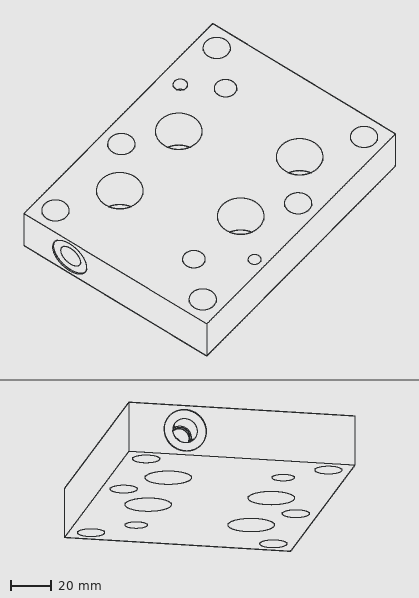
import cadquery as cq
import math

LENGTH_X = 114.3
LENGTH_Y = 152.4
THICKNESS = 25.4

MOUNT_SPAN_X = 92.08
MOUNT_SPAN_Y = 130.2
PATTERN_ORIGIN_X = (LENGTH_X - MOUNT_SPAN_X) / 2
PATTERN_ORIGIN_Y = (LENGTH_Y - MOUNT_SPAN_Y) / 2

LEFT_PORT_X = 17.46
RIGHT_PORT_X = 74.61
PORT_PITCH_Y = 23.8
FIRST_PORT_Y = 29.4
FIRST_PORT = (LEFT_PORT_X, FIRST_PORT_Y)
SECOND_ROW_Y = FIRST_PORT_Y + PORT_PITCH_Y
THIRD_ROW_Y = SECOND_ROW_Y + PORT_PITCH_Y
FOURTH_ROW_Y = THIRD_ROW_Y + PORT_PITCH_Y

MOUNT_DIAMETER = 13.46
MOUNT_POINTS = [
    (0, 0),
    (MOUNT_SPAN_X, 0),
    (0, MOUNT_SPAN_Y),
    (MOUNT_SPAN_X, MOUNT_SPAN_Y),
    (0, SECOND_ROW_Y),
    (MOUNT_SPAN_X, THIRD_ROW_Y),
]

MAIN_PORT_DIAMETER = 23.01
MAIN_PORT_POINTS = [
    FIRST_PORT,
    (RIGHT_PORT_X, SECOND_ROW_Y),
    (LEFT_PORT_X, THIRD_ROW_Y),
    (RIGHT_PORT_X, FOURTH_ROW_Y),
]

PILOT_DIAMETER = 11.11
PILOT_POINTS = [(73.0, 17.46), (19.05, 112.7)]

PIN_HOLE_DEPTH = 8.0
DRILL_POINT_ANGLE = 118.0
LEFT_PIN_DIAMETER = 7.14
LEFT_PIN_POINT = (0, FOURTH_ROW_Y)
RIGHT_PIN_DIAMETER = 6.35
RIGHT_PIN_POINT = (96.84, 35.7)

SPOTFACE_DIAMETER = 21.29
SPOTFACE_DEPTH = 0.8
SEAL_MOUTH_DIAMETER = 12.39
THREAD_DIAMETER = 11.12
SEAL_HALF_ANGLE = 12.0
THREAD_DEPTH = 12.0
TAP_DRILL_DIAMETER = 9.88
TAP_DRILL_DEPTH = 14.0
PASSAGE_DIAMETER = 9.53


def plate_point(point):
    """Convert a pattern position to plate coordinates."""
    return (PATTERN_ORIGIN_X + point[0], PATTERN_ORIGIN_Y + point[1])


def make_plate():
    return cq.Workplane("XY").box(LENGTH_X, LENGTH_Y, THICKNESS, centered=False)


def through_holes(points, diameter):
    centers = [plate_point(point) for point in points]
    return cq.Workplane("XY").pushPoints(centers).circle(diameter / 2).extrude(THICKNESS)


def pin_hole(point, diameter):
    """Blind hole from the top face, ending in a cone."""
    radius = diameter / 2
    bottom_z = THICKNESS - PIN_HOLE_DEPTH
    tip_z = bottom_z - radius / math.tan(math.radians(DRILL_POINT_ANGLE / 2))
    center_x, center_y = plate_point(point)
    profile = [(0, tip_z), (radius, bottom_z), (radius, THICKNESS), (0, THICKNESS)]
    hole = cq.Workplane("XZ").polyline(profile).close().revolve(360, (0, 0), (0, 1))
    return hole.translate((center_x, center_y, 0))


def front_port():
    """Stepped round port running in +Y: spotface, seal cone, thread bore, tap drill and passage."""
    center_x, end_y = plate_point(FIRST_PORT)
    spotface_radius = SPOTFACE_DIAMETER / 2
    mouth_radius = SEAL_MOUTH_DIAMETER / 2
    thread_radius = THREAD_DIAMETER / 2
    tap_drill_radius = TAP_DRILL_DIAMETER / 2
    passage_radius = PASSAGE_DIAMETER / 2
    cone_length = (mouth_radius - thread_radius) / math.tan(math.radians(SEAL_HALF_ANGLE))
    cone_end_y = SPOTFACE_DEPTH + cone_length
    profile = [
        (0, 0),
        (spotface_radius, 0),
        (spotface_radius, SPOTFACE_DEPTH),
        (mouth_radius, SPOTFACE_DEPTH),
        (thread_radius, cone_end_y),
        (thread_radius, THREAD_DEPTH),
        (tap_drill_radius, THREAD_DEPTH),
        (tap_drill_radius, TAP_DRILL_DEPTH),
        (passage_radius, TAP_DRILL_DEPTH),
        (passage_radius, end_y),
        (0, end_y),
    ]
    port = cq.Workplane("XY").polyline(profile).close().revolve(360, (0, 0), (0, 1))
    return port.translate((center_x, 0, THICKNESS / 2))


result = (
    make_plate()
    .cut(through_holes(MOUNT_POINTS, MOUNT_DIAMETER))
    .cut(through_holes(MAIN_PORT_POINTS, MAIN_PORT_DIAMETER))
    .cut(through_holes(PILOT_POINTS, PILOT_DIAMETER))
    .cut(pin_hole(LEFT_PIN_POINT, LEFT_PIN_DIAMETER))
    .cut(pin_hole(RIGHT_PIN_POINT, RIGHT_PIN_DIAMETER))
    .cut(front_port())
)